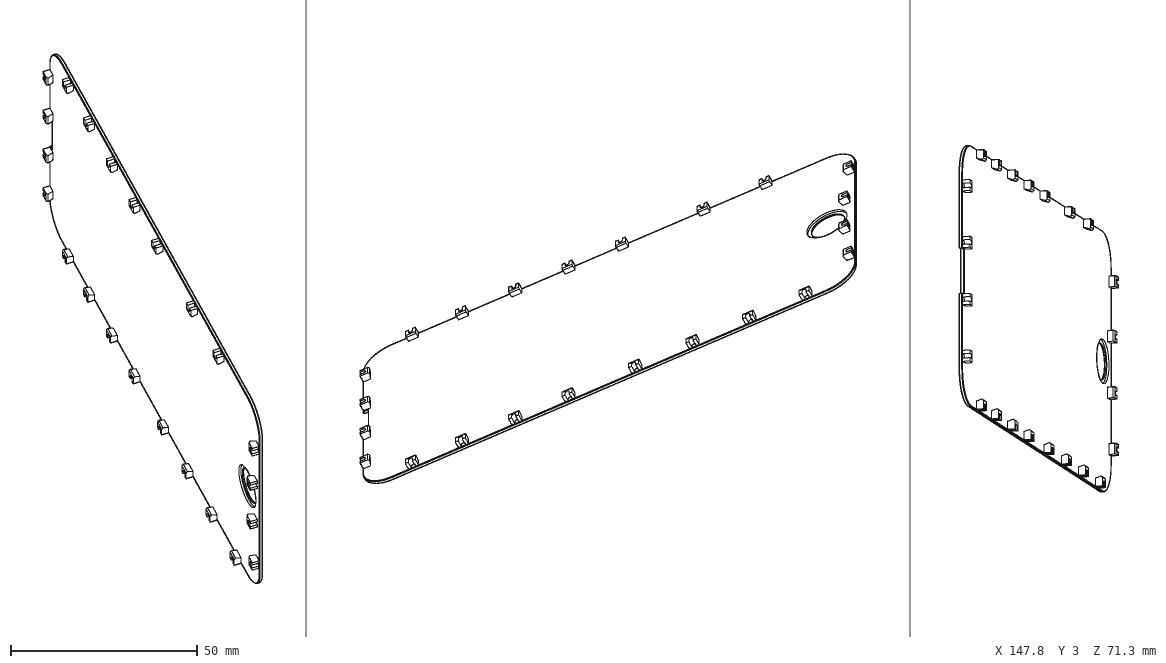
import cadquery as cq

length = 147.78
height = 71.26
total_depth = 3.0
plate_thickness = 1.0
corner_radius = 8.7
edge_chamfer = 0.2

opening_x = 65.4
opening_diameter = 10.0
counterbore_diameter = 12.0
counterbore_depth = 0.6

notch_depth = 1.6
notch_height = 12.4
notch_corner_radius = 0.6

clip_width = 3.0
clip_root_length = 2.2
clip_tip_length = 2.7
clip_slot_width = 1.2
clip_slot_length = 1.6
clip_tip_chamfer = 0.4
clip_edge_inset = 0.2
opening_clip_inset = 1.3

top_clip_x = (-58.6, -43.6, -27.6, -11.6, 4.4, 28.9, 47.5)
bottom_clip_x = (-58.6, -43.6, -27.6, -11.6, 8.4, 25.6, 42.6, 59.5)
left_clip_z = (-23.3, -7.8, 7.8, 23.3)
right_clip_z = (-22.9, 22.9)
opening_clip_z = (-7.7, 7.7)

clip_height = total_depth - plate_thickness


def make_notch():
    """Cutter for the edge notch with rounded inner corners."""
    notch = (
        cq.Workplane("XZ")
        .center(-length / 2, 0)
        .rect(2 * notch_depth, notch_height)
        .extrude(plate_thickness)
    )
    return notch.edges("|Y").fillet(notch_corner_radius)


def make_plate():
    """Rounded plate with the edge notch and a small chamfer around both faces."""
    plate = cq.Workplane("XZ").rect(length, height).extrude(plate_thickness)
    plate = plate.edges("|Y").fillet(corner_radius).cut(make_notch())
    return plate.faces("<Y or >Y").edges().chamfer(edge_chamfer)


def make_opening():
    """Cutter for the round opening and its front counterbore."""
    bore = cq.Workplane("XZ").center(opening_x, 0).circle(opening_diameter / 2).extrude(plate_thickness)
    counterbore = (
        cq.Workplane("XZ", origin=(opening_x, counterbore_depth - plate_thickness, 0))
        .circle(counterbore_diameter / 2)
        .extrude(counterbore_depth)
    )
    return bore.union(counterbore)


def make_clip():
    """Clip with its outer end at X = 0, reaching towards +X and widening to a chamfered tip."""
    clip = (
        cq.Workplane("XY", origin=(0, -plate_thickness, -clip_width / 2))
        .polyline(
            [
                (0, 0),
                (clip_root_length, 0),
                (clip_tip_length, clip_tip_chamfer - clip_height),
                (clip_tip_length - clip_tip_chamfer, -clip_height),
                (0, -clip_height),
            ]
        )
        .close()
        .extrude(clip_width)
    )
    slot = (
        cq.Workplane("XZ", origin=(0, -plate_thickness, 0))
        .slot2D(2 * clip_slot_length, clip_slot_width)
        .extrude(clip_height)
    )
    return clip.cut(slot)


def place_clip(x, z, angle):
    """Clip turned about Y by the given angle and moved to the edge point (x, z)."""
    return make_clip().rotate((0, 0, 0), (0, 1, 0), angle).translate((x, 0, z))


side_x = length / 2 - clip_edge_inset
side_z = height / 2 - clip_edge_inset

result = make_plate().cut(make_opening())
for x in top_clip_x:
    result = result.union(place_clip(x, side_z, 90))
for x in bottom_clip_x:
    result = result.union(place_clip(x, -side_z, -90))
for z in left_clip_z:
    result = result.union(place_clip(-side_x, z, 0))
for z in right_clip_z:
    result = result.union(place_clip(side_x, z, 180))
for z in opening_clip_z:
    result = result.union(place_clip(side_x - opening_clip_inset, z, 180))